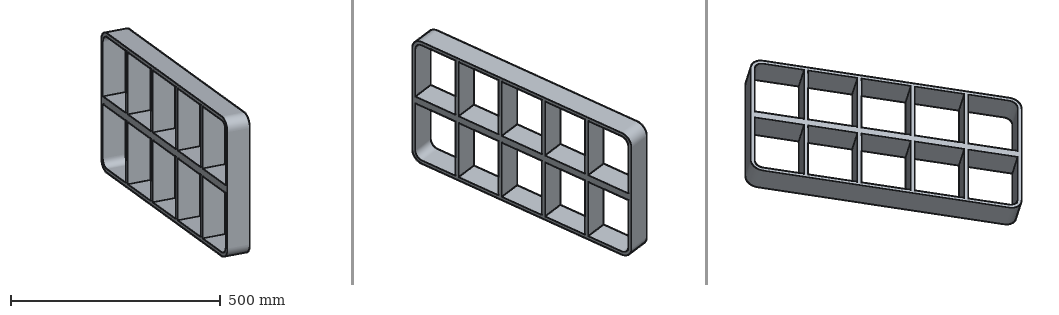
import cadquery as cq

length = 662.5
depth = 60.0
height = 359.0

wall = depth / 6
corner_radius = 3 * wall
divider_thickness = wall
shelf_thickness = 2 * wall
columns = 5
rows = 2

inner_length = length - 2 * wall
inner_height = height - 2 * wall
cell_length = (inner_length - (columns - 1) * divider_thickness) / columns
cell_height = (inner_height - (rows - 1) * shelf_thickness) / rows


def rounded_block(block_length, block_height, radius):
    """Block centred on the origin, with its four edges along Y rounded."""
    return cq.Workplane("XY").box(block_length, depth, block_height).edges("|Y").fillet(radius)


def cell_grid():
    """Rectangular blocks filling every opening between the dividers."""
    return (
        cq.Workplane("XZ")
        .rarray(cell_length + divider_thickness, cell_height + shelf_thickness, columns, rows)
        .rect(cell_length, cell_height)
        .extrude(depth / 2, both=True)
    )


frame_inside = rounded_block(inner_length, inner_height, corner_radius - wall)
openings = cell_grid().intersect(frame_inside)

result = rounded_block(length, height, corner_radius).cut(openings)